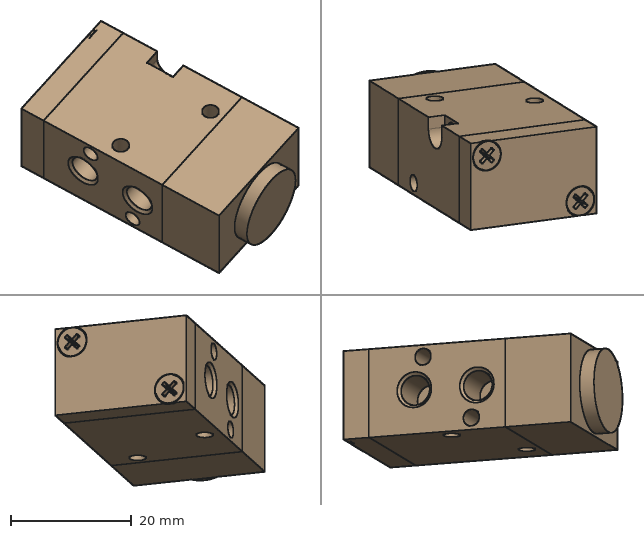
import cadquery as cq

WIDTH = 23.0
HEIGHT = 15.0
TOTAL_LENGTH = 42.5
CAP_LENGTH = 4.5
VALVE_LENGTH = 24.0
KNOB_LENGTH = 2.5
KNOB_DIAMETER = 14.02
VALVE_END = CAP_LENGTH + VALVE_LENGTH
ACTUATOR_LENGTH = TOTAL_LENGTH - VALVE_END - KNOB_LENGTH
FRONT = -WIDTH / 2
BACK = WIDTH / 2

HEAD_DIAMETER = 4.97
GROOVE_DIAMETER = 5.15
GROOVE_DEPTH = 0.5
HEAD_FROM_SIDE = 2.98
HEAD_FROM_EDGE = 2.5
HEAD_Y = WIDTH / 2 - HEAD_FROM_SIDE
HEAD_Z = HEIGHT / 2 - HEAD_FROM_EDGE
HEAD_CENTRES = [(HEAD_Y, HEAD_Z), (-HEAD_Y, -HEAD_Z)]

SLOT_LENGTH = 3.05
SLOT_WIDTH = 0.65
SLOT_DEPTH = 1.8
SLOT_END_RUN = 0.5
SLOT_ANGLES = [45, 135]

PORT_DIAMETER = 5.0
PORT_CHAMFER = 0.5
PORT_DEPTH = 8.5
PORT_X = [12.5, 23.5]

HOLE_DIAMETER = 2.8
CROSS_HOLE_Z = 5.5
RECESSED_HOLE = (14.02, CROSS_HOLE_Z)
PLAIN_HOLE = (22.52, -CROSS_HOLE_Z)
VERTICAL_HOLES = [(26.0, 6.0), (18.0, -8.5)]

RECESS_WIDTH = 5.25
RECESS_DEPTH = 2.98


def block(start, length):
    """Full-section block that begins at X = start."""
    return cq.Workplane("YZ", origin=(start, 0, 0)).rect(WIDTH, HEIGHT).extrude(length)


def cylinder_along_y(x, z, diameter, start, length):
    """Cylinder along +Y that begins at Y = start."""
    axis = cq.Vector(0, 1, 0)
    return cq.Workplane(cq.Solid.makeCylinder(diameter / 2, length, cq.Vector(x, start, z), axis))


def ring_groove():
    """Ring around the X axis that sinks into the cap face."""
    return cq.Workplane("YZ").circle(GROOVE_DIAMETER / 2).circle(HEAD_DIAMETER / 2).extrude(GROOVE_DEPTH)


def recess_slot():
    """V slot along Y with sloping ends, centred on the X axis."""
    half_width = SLOT_WIDTH / 2
    half_length = SLOT_LENGTH / 2
    half_ridge = half_length - SLOT_END_RUN
    section = (
        cq.Workplane("XZ")
        .polyline([(0, -half_width), (SLOT_DEPTH, 0), (0, half_width)])
        .close()
        .extrude(half_length, both=True)
    )
    side = (
        cq.Workplane("XY")
        .polyline([(0, -half_length), (SLOT_DEPTH, -half_ridge), (SLOT_DEPTH, half_ridge), (0, half_length)])
        .close()
        .extrude(SLOT_WIDTH, both=True)
    )
    return section.intersect(side)


def make_cap():
    cap = block(0, CAP_LENGTH)
    for y, z in HEAD_CENTRES:
        cap = cap.cut(ring_groove().translate((0, y, z)))
        for angle in SLOT_ANGLES:
            slot = recess_slot().rotate((0, 0, 0), (1, 0, 0), angle)
            cap = cap.cut(slot.translate((0, y, z)))
    return cap


def make_port(x):
    """Blind bore with a chamfered mouth in the front face."""
    bore = cylinder_along_y(x, 0, PORT_DIAMETER, FRONT, PORT_DEPTH)
    mouth_radius = PORT_DIAMETER / 2 + PORT_CHAMFER
    mouth = cq.Solid.makeCone(
        mouth_radius, PORT_DIAMETER / 2, PORT_CHAMFER, cq.Vector(x, FRONT, 0), cq.Vector(0, 1, 0)
    )
    return bore.union(cq.Workplane(mouth))


def make_head_recess():
    """Round-bottomed slot around the recessed hole, running out of the top face."""
    x, z = RECESSED_HOLE
    start = BACK - RECESS_DEPTH
    round_bottom = cylinder_along_y(x, z, RECESS_WIDTH, start, RECESS_DEPTH)
    opening = cq.Workplane("XY").box(
        RECESS_WIDTH, RECESS_DEPTH, HEIGHT / 2 - z, centered=(True, False, False)
    )
    return round_bottom.union(opening.translate((x, start, z)))


def make_valve():
    valve = block(CAP_LENGTH, VALVE_LENGTH)
    for x in PORT_X:
        valve = valve.cut(make_port(x))
    for x, z in (RECESSED_HOLE, PLAIN_HOLE):
        valve = valve.cut(cylinder_along_y(x, z, HOLE_DIAMETER, FRONT, WIDTH))
    vertical_holes = (
        cq.Workplane("XY", origin=(0, 0, -HEIGHT / 2))
        .pushPoints(VERTICAL_HOLES)
        .circle(HOLE_DIAMETER / 2)
        .extrude(HEIGHT)
    )
    return valve.cut(vertical_holes).cut(make_head_recess())


def make_actuator():
    """End block with the round knob on its outer face."""
    knob_start = VALVE_END + ACTUATOR_LENGTH
    knob = cq.Workplane("YZ", origin=(knob_start, 0, 0)).circle(KNOB_DIAMETER / 2).extrude(KNOB_LENGTH)
    return block(VALVE_END, ACTUATOR_LENGTH).union(knob)


cap = make_cap()
valve = make_valve()
actuator = make_actuator()

result = cq.Compound.makeCompound([cap.val(), valve.val(), actuator.val()])